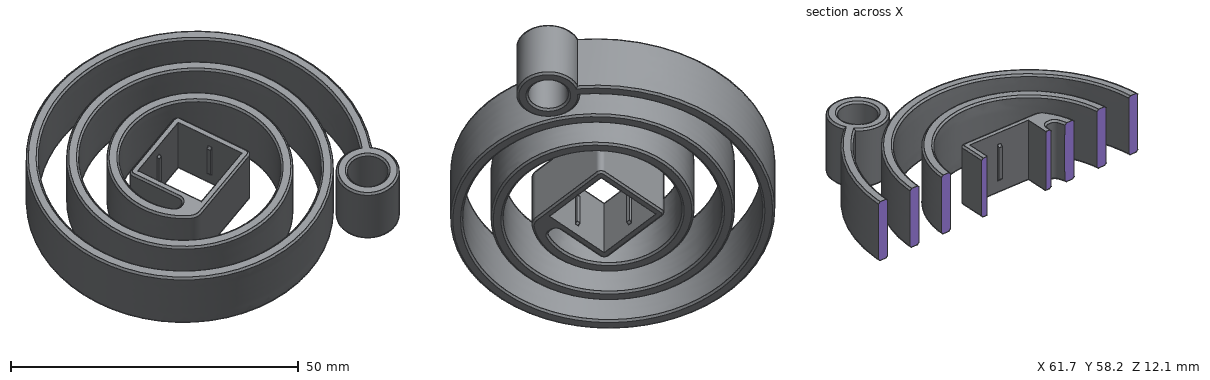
import cadquery as cq
import math

height = 12.1
edge_chamfer = 0.4

pitch = 7.0
leaf_width = 2.1
leaf_radius_at_eye = 30.95
last_turn_bottom = 270 + 2 * 360
root_search_span = 60
spline_samples = 120
bisection_steps = 50

eye_angle = 28.9
eye_outer_diameter = 10.95
eye_hole_diameter = 7.0

hub_side = 15.6
hub_bore_side = 13.05
hub_corner_radius = 1.0
half_hub = hub_side / 2

root_slot_end_x = 3.8
root_slot_radius = 1.2
root_outer_radius = 2.45

rib_width = 0.75
rib_depth = 0.45
rib_end_gap = 2.35


def leaf_radius(angle, offset=0.0):
    """Leaf radius at an angle in degrees; offset moves from the centreline to a side."""
    return leaf_radius_at_eye + offset - pitch * (angle - eye_angle) / 360


def leaf_point(angle, offset=0.0):
    radius = leaf_radius(angle, offset)
    return (
        radius * math.cos(math.radians(angle)),
        radius * math.sin(math.radians(angle)),
    )


def leaf_angle_at_x(x, offset):
    """Angle on the innermost turn, right of its lowest point, where a leaf side reaches x (by bisection)."""
    low = last_turn_bottom
    high = last_turn_bottom + root_search_span
    for _ in range(bisection_steps):
        middle = (low + high) / 2
        if leaf_point(middle, offset)[0] < x:
            low = middle
        else:
            high = middle
    return low


def make_leaf_and_hub():
    """Leaf and solid hub as one closed outline, extruded to the full height."""
    eye_wall_radius = (eye_outer_diameter + eye_hole_diameter) / 4
    start = eye_angle + math.degrees(eye_wall_radius / leaf_radius_at_eye)
    half_leaf = leaf_width / 2
    outer_end = leaf_angle_at_x(half_hub, half_leaf)
    inner_end = leaf_angle_at_x(root_slot_end_x, -half_leaf)
    root_corner = leaf_point(outer_end, half_leaf)
    slot_corner = leaf_point(inner_end, -half_leaf)

    def outer_side(t):
        return leaf_point(start + t * (outer_end - start), half_leaf)

    def inner_side(t):
        return leaf_point(inner_end + t * (start - inner_end), -half_leaf)

    outline = (
        cq.Workplane("XY")
        .parametricCurve(outer_side, N=spline_samples, makeWire=False)
        .moveTo(*root_corner)
        .lineTo(half_hub, half_hub)
        .lineTo(-half_hub, half_hub)
        .lineTo(-half_hub, -half_hub)
        .lineTo(root_slot_end_x, -half_hub)
        .lineTo(*slot_corner)
        .parametricCurve(inner_side, N=spline_samples, makeWire=False)
        .moveTo(*leaf_point(start, -half_leaf))
        .lineTo(*leaf_point(start, half_leaf))
        .wire()
    )
    body = outline.extrude(height)

    rounded_corners = [
        (half_hub, half_hub, hub_corner_radius),
        (-half_hub, half_hub, hub_corner_radius),
        (-half_hub, -half_hub, hub_corner_radius),
        (root_slot_end_x, -half_hub, root_slot_radius),
        (*slot_corner, root_slot_radius),
        (*root_corner, root_outer_radius),
    ]
    for x, y, radius in rounded_corners:
        corner = cq.selectors.NearestToPointSelector((x, y, height / 2))
        body = body.edges("|Z").edges(corner).fillet(radius)
    return body


def make_eye_cylinder(diameter):
    return cq.Workplane("XY").center(*leaf_point(eye_angle)).circle(diameter / 2).extrude(height)


def make_hub_bore():
    return cq.Workplane("XY").rect(hub_bore_side, hub_bore_side).extrude(height)


def make_rib():
    """Upright rib on the +X bore wall, with 45 degree ends."""
    wall = hub_bore_side / 2
    top = height - rib_end_gap
    return (
        cq.Workplane("XZ")
        .polyline(
            [
                (wall, rib_end_gap),
                (wall - rib_depth, rib_end_gap + rib_depth),
                (wall - rib_depth, top - rib_depth),
                (wall, top),
            ]
        )
        .close()
        .extrude(rib_width / 2, both=True)
    )


body = make_leaf_and_hub().union(make_eye_cylinder(eye_outer_diameter))
body = body.cut(make_eye_cylinder(eye_hole_diameter))
body = body.faces("<Z or >Z").edges().chamfer(edge_chamfer)

body = body.cut(make_hub_bore())

for turn in range(4):
    body = body.union(make_rib().rotate((0, 0, 0), (0, 0, 1), 90 * turn))

result = body